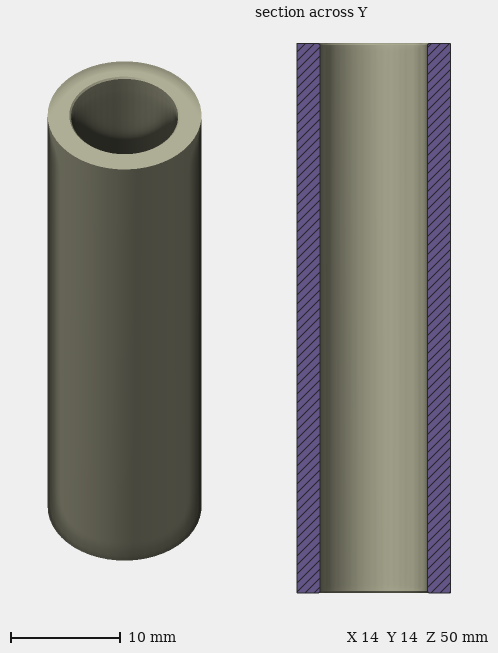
import cadquery as cq

length = 50.0
outer_diameter = 14.0
bore_diameter = 9.75
bore_chamfer = 0.15

tube = cq.Workplane("XY").circle(outer_diameter / 2).circle(bore_diameter / 2).extrude(length)

bore_edges = cq.selectors.RadiusNthSelector(0)
result = tube.faces("<Z or >Z").edges(bore_edges).chamfer(bore_chamfer)